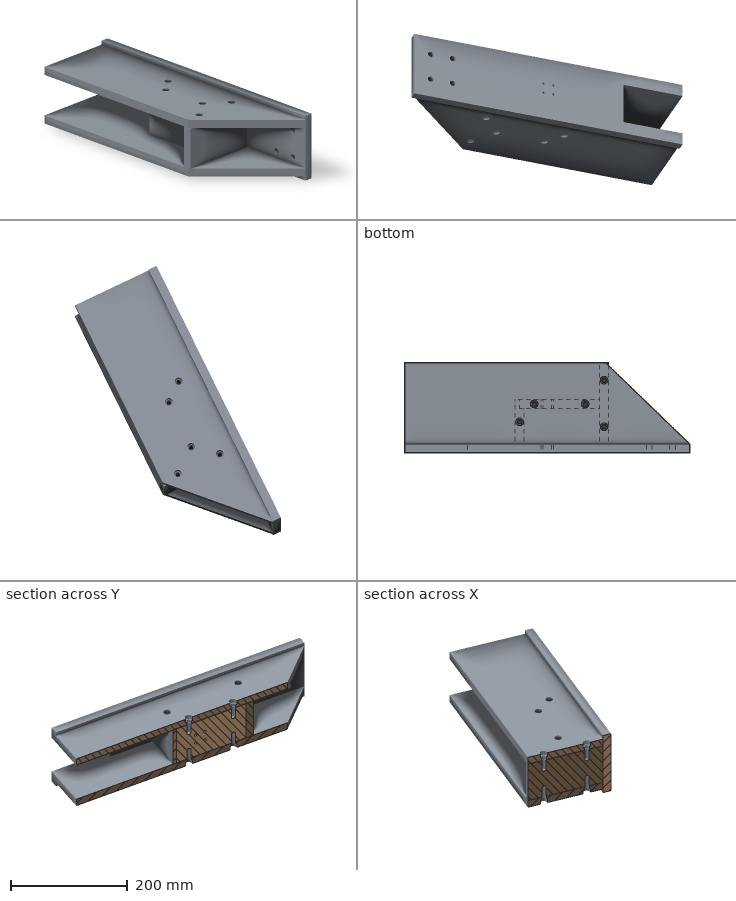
import cadquery as cq
import math

length = 490.0
board = 15.0
back_height = 120.0
deck_depth = 140.0
gap = 75.0
slot_length = 108.0
deck_front_length = 345.0

end_wall_right = 350.0
end_wall_left = end_wall_right - board
side_wall_left = 190.0
side_wall_right = side_wall_left + board
mid_wall_front = 63.5
mid_wall_back = mid_wall_front + board
rabbet = board / 2

head_diameter = 13.0
head_depth = 8.0
clearance_diameter = 8.0
tapped_diameter = 6.8
tapped_depth = 20.0
drill_tip_angle = 118.0
screw_inset = 25.0
end_wall_screw_inset = 30.0
side_wall_x = side_wall_left + board / 2
side_wall_screws = [(side_wall_x, (mid_wall_front + deck_depth) / 2)]
mid_wall_screw_xs = (side_wall_x + screw_inset, end_wall_left - screw_inset)
mid_wall_screws = [(x, mid_wall_front + board / 2) for x in mid_wall_screw_xs]
end_wall_screw_ys = (end_wall_screw_inset, deck_depth - end_wall_screw_inset)
end_wall_screws = [(end_wall_left + board / 2, y) for y in end_wall_screw_ys]
deck_screws = side_wall_screws + mid_wall_screws + end_wall_screws

mount_diameter = 10.0
mount_centre_x = 440.0
mount_pitch_x = 40.0
mount_pitch_z = 50.0
cable_diameter = 4.0
cable_centre_x = 244.9
cable_pitch = 18.0


def box(x_min, x_max, y_min, y_max, height):
    """Box between the given X and Y limits, centred on Z = 0."""
    size_x = x_max - x_min
    size_y = y_max - y_min
    centre = (x_min + size_x / 2, y_min + size_y / 2, 0)
    return cq.Workplane("XY").box(size_x, size_y, height).translate(centre)


def vertical_cylinders(points, diameter, z_bottom, height):
    return cq.Workplane("XY", origin=(0, 0, z_bottom)).pushPoints(points).circle(diameter / 2).extrude(height)


def hole_grid(centre_x, pitch_x, pitch_z, diameter):
    """Four cylinders along Y, long enough to pass through the whole depth."""
    return (
        cq.Workplane("XZ", origin=(centre_x, 0, 0))
        .rarray(pitch_x, pitch_z, 2, 2)
        .circle(diameter / 2)
        .extrude(-(deck_depth + board))
    )


def cable_holes():
    return hole_grid(cable_centre_x, cable_pitch, cable_pitch, cable_diameter)


def make_back_plate():
    plate = box(0, length, deck_depth, deck_depth + board, back_height)
    slot = box(0, slot_length, deck_depth, deck_depth + board, gap)
    mount_holes = hole_grid(mount_centre_x, mount_pitch_x, mount_pitch_z, mount_diameter)
    return plate.cut(slot).cut(mount_holes).cut(cable_holes())


def make_top_deck():
    """Deck with a slanted right end and counterbored screw holes."""
    z_bottom = gap / 2
    outline = [(0, 0), (deck_front_length, 0), (length, deck_depth), (0, deck_depth)]
    deck = cq.Workplane("XY", origin=(0, 0, z_bottom)).polyline(outline).close().extrude(board)
    shanks = vertical_cylinders(deck_screws, clearance_diameter, z_bottom, board)
    heads = vertical_cylinders(deck_screws, head_diameter, z_bottom + board - head_depth, head_depth)
    return deck.cut(shanks).cut(heads)


def tapped_hole(x, y):
    """Blind hole with a conical drill tip, going down from the top edge of a wall."""
    radius = tapped_diameter / 2
    tip_height = radius / math.tan(math.radians(drill_tip_angle / 2))
    half_section = [(0, 0), (radius, 0), (radius, -tapped_depth), (0, -tapped_depth - tip_height)]
    hole = cq.Workplane("XZ").polyline(half_section).close().revolve(360, (0, 0, 0), (0, 1, 0))
    return hole.translate((x, y, gap / 2))


def tap_both_edges(wall, points):
    """Cut matching blind screw holes in the top and bottom edges of a wall."""
    for x, y in points:
        hole = tapped_hole(x, y)
        wall = wall.cut(hole).cut(hole.mirror("XY"))
    return wall


def make_mid_wall():
    wall = box(side_wall_left + rabbet, end_wall_left, mid_wall_front, mid_wall_back, gap)
    return tap_both_edges(wall, mid_wall_screws).cut(cable_holes())


def make_side_wall():
    wall = box(side_wall_left, side_wall_right, mid_wall_front, deck_depth, gap)
    lap = box(side_wall_left + rabbet, side_wall_right, mid_wall_front, mid_wall_back, gap)
    return tap_both_edges(wall.cut(lap), side_wall_screws)


def make_end_wall():
    wall = box(end_wall_left, end_wall_right, 0, deck_depth, gap)
    return tap_both_edges(wall, end_wall_screws)


back_plate = make_back_plate()
top_deck = make_top_deck()
bottom_deck = top_deck.mirror("XY")
mid_wall = make_mid_wall()
side_wall = make_side_wall()
end_wall = make_end_wall()

bodies = [back_plate, top_deck, bottom_deck, mid_wall, side_wall, end_wall]
result = cq.Compound.makeCompound([body.val() for body in bodies])